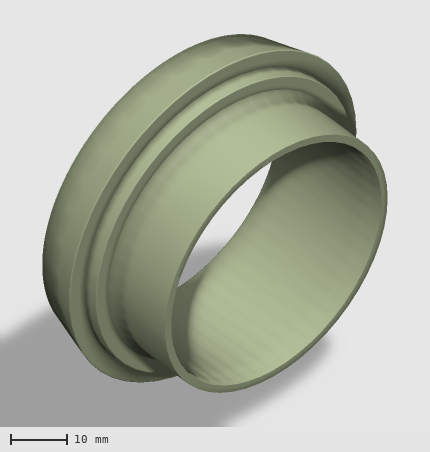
import cadquery as cq
import math

total_length = 28.0
flange_back = 11.1
collar_back = 14.1
neck_end = 16.55

bore_radius = 25.0
pipe_radius = 26.5
collar_radius = 30.6
flange_radius = 34.2
neck_fillet = 3.0

cone_angle = 15.0
face_angle = 5.0

edge_round = 0.2
bore_round = 0.3

cone_slope = math.tan(math.radians(cone_angle))
face_slope = math.tan(math.radians(face_angle))


def corner_excess(angle, rounding):
    """How far a corner, sharper than square by an angle, reaches beyond its rounded form."""
    lean = math.radians(angle)
    return rounding * (1 / math.cos(lean) + math.tan(lean) - 1)


lip_position = -corner_excess(face_angle, bore_round)
rim_radius = flange_radius + corner_excess(cone_angle, edge_round)

cone_radius_at_lip = rim_radius - (flange_back - lip_position) * cone_slope
slope_product = face_slope * cone_slope
face_outer_radius = (cone_radius_at_lip - bore_radius * slope_product) / (1 - slope_product)
cone_front = lip_position + (face_outer_radius - bore_radius) * face_slope

neck_sweep = math.asin((neck_end - collar_back) / neck_fillet)


def neck_point(angle):
    """Point on the neck arc, at an angle back from where it meets the pipe."""
    return (
        neck_end - neck_fillet * math.sin(angle),
        pipe_radius + neck_fillet * (1 - math.cos(angle)),
    )


half_section = (
    cq.Workplane("XY")
    .moveTo(lip_position, bore_radius)
    .lineTo(cone_front, face_outer_radius)
    .lineTo(flange_back, rim_radius)
    .lineTo(flange_back, collar_radius)
    .lineTo(collar_back, collar_radius)
    .lineTo(*neck_point(neck_sweep))
    .threePointArc(neck_point(neck_sweep / 2), (neck_end, pipe_radius))
    .lineTo(total_length, pipe_radius)
    .lineTo(total_length, bore_radius)
    .close()
)
liner = half_section.revolve(360, (0, 0, 0), (1, 0, 0))


def round_edge(body, position, radius, rounding):
    """Fillet the circular edge at an axial position and radius."""
    tolerance = 0.001
    edge = body.edges("%CIRCLE").filter(
        lambda e: abs(e.Center().x - position) < tolerance and abs(e.radius() - radius) < tolerance
    )
    return edge.fillet(rounding)


liner = round_edge(liner, cone_front, face_outer_radius, edge_round)
liner = round_edge(liner, flange_back, rim_radius, edge_round)
liner = round_edge(liner, flange_back, collar_radius, edge_round)
liner = round_edge(liner, collar_back, collar_radius, edge_round)
result = round_edge(liner, lip_position, bore_radius, bore_round)